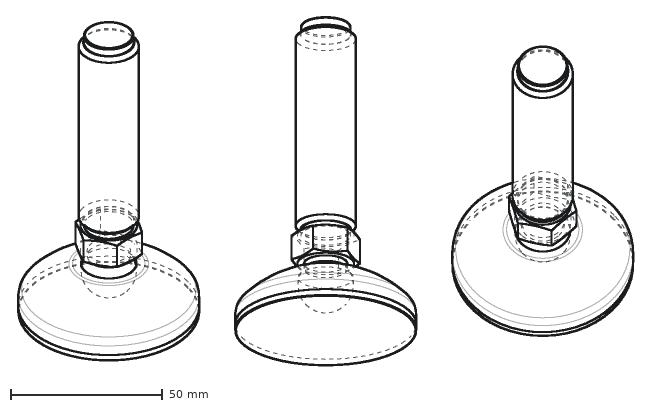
import cadquery as cq
import math


TOTAL_HEIGHT = 109.2
FOOT_DIAMETER = 60.0

PAD_HEIGHT = 2.3
PAD_BEVEL = 0.2

DOME_RADIUS = 40.0
BASE_TOP = 19.0
DOME_TOP_RADIUS = 12.6
RIM_FILLET = 4.0
TOP_FILLET = 3.6

BALL_DIAMETER = 18.3
BALL_CENTRE_Z = 16.3

NECK_DIAMETER = 14.3
HEX_BOTTOM = 24.0
HEX_HEIGHT = 10.0
HEX_ACROSS_FLATS = 20.0
HEX_FACE_DIAMETER = 18.8
HEX_CORNER_DROP = 0.9
THREAD_DIAMETER = 20.0
RELIEF_DIAMETER = 16.5
THREAD_BOTTOM = 36.0
TIP_LENGTH = 3.0
THREAD_TOP = TOTAL_HEIGHT - TIP_LENGTH
THREAD_CHAMFER = 1.5
TIP_FACE_DIAMETER = 15.7
TIP_CHAMFER = (RELIEF_DIAMETER - TIP_FACE_DIAMETER) / 2

FOOT_RADIUS = FOOT_DIAMETER / 2
BALL_RADIUS = BALL_DIAMETER / 2


def revolve_about_z(profile):
    """Turn a closed radius-height profile around the Z axis."""
    return profile.close().revolve(360, (0, 0, 0), (0, 1, 0))


def make_pad():
    pad = cq.Workplane("XY").circle(FOOT_RADIUS).extrude(PAD_HEIGHT)
    return pad.faces("<Z").edges().chamfer(PAD_BEVEL)


def make_ball():
    return cq.Workplane("XY").sphere(BALL_RADIUS).translate((0, 0, BALL_CENTRE_Z))


def make_base():
    dome_centre_z = BASE_TOP - math.sqrt(DOME_RADIUS**2 - DOME_TOP_RADIUS**2)
    rim_top = dome_centre_z + math.sqrt(DOME_RADIUS**2 - FOOT_RADIUS**2)
    middle_angle = (math.asin(DOME_TOP_RADIUS / DOME_RADIUS) + math.asin(FOOT_RADIUS / DOME_RADIUS)) / 2
    dome_middle = (
        DOME_RADIUS * math.sin(middle_angle),
        dome_centre_z + DOME_RADIUS * math.cos(middle_angle),
    )
    base = revolve_about_z(
        cq.Workplane("XZ")
        .moveTo(0, PAD_HEIGHT)
        .lineTo(FOOT_RADIUS, PAD_HEIGHT)
        .lineTo(FOOT_RADIUS, rim_top)
        .threePointArc(dome_middle, (DOME_TOP_RADIUS, BASE_TOP))
        .lineTo(0, BASE_TOP)
    )
    rim_edge = cq.selectors.NearestToPointSelector((0, 0, rim_top))
    base = base.edges("%CIRCLE").edges(rim_edge).fillet(RIM_FILLET)
    base = base.faces(">Z").edges().fillet(TOP_FILLET)

    socket_mouth = (
        cq.Workplane("XY", origin=(0, 0, BALL_CENTRE_Z))
        .circle(BALL_RADIUS)
        .extrude(BASE_TOP - BALL_CENTRE_Z)
    )
    return base.cut(socket_mouth).cut(make_ball())


def make_hexagon():
    """Hexagon with a conical chamfer on both ends."""
    corner_radius = HEX_ACROSS_FLATS / math.sqrt(3)
    face_radius = HEX_FACE_DIAMETER / 2
    hex_top = HEX_BOTTOM + HEX_HEIGHT
    prism = (
        cq.Workplane("XY", origin=(0, 0, HEX_BOTTOM))
        .polygon(6, 2 * corner_radius)
        .extrude(HEX_HEIGHT)
    )
    chamfer_envelope = revolve_about_z(
        cq.Workplane("XZ")
        .moveTo(0, HEX_BOTTOM)
        .lineTo(face_radius, HEX_BOTTOM)
        .lineTo(corner_radius, HEX_BOTTOM + HEX_CORNER_DROP)
        .lineTo(corner_radius, hex_top - HEX_CORNER_DROP)
        .lineTo(face_radius, hex_top)
        .lineTo(0, hex_top)
    )
    return prism.intersect(chamfer_envelope)


def make_thread():
    """Plain relief, chamfered thread envelope and bevelled tip above the hexagon."""
    relief_radius = RELIEF_DIAMETER / 2
    thread_radius = THREAD_DIAMETER / 2
    thread_end_radius = thread_radius - THREAD_CHAMFER
    return revolve_about_z(
        cq.Workplane("XZ")
        .moveTo(0, HEX_BOTTOM)
        .lineTo(relief_radius, HEX_BOTTOM)
        .lineTo(relief_radius, THREAD_BOTTOM)
        .lineTo(thread_end_radius, THREAD_BOTTOM)
        .lineTo(thread_radius, THREAD_BOTTOM + THREAD_CHAMFER)
        .lineTo(thread_radius, THREAD_TOP - THREAD_CHAMFER)
        .lineTo(thread_end_radius, THREAD_TOP)
        .lineTo(relief_radius, THREAD_TOP)
        .lineTo(relief_radius, TOTAL_HEIGHT - TIP_CHAMFER)
        .lineTo(relief_radius - TIP_CHAMFER, TOTAL_HEIGHT)
        .lineTo(0, TOTAL_HEIGHT)
    )


def make_stud():
    neck = (
        cq.Workplane("XY", origin=(0, 0, BALL_CENTRE_Z))
        .circle(NECK_DIAMETER / 2)
        .extrude(HEX_BOTTOM - BALL_CENTRE_Z)
    )
    return make_ball().union(neck).union(make_hexagon()).union(make_thread())


pad = make_pad()
base = make_base()
stud = make_stud()

result = cq.Compound.makeCompound([pad.val(), base.val(), stud.val()])